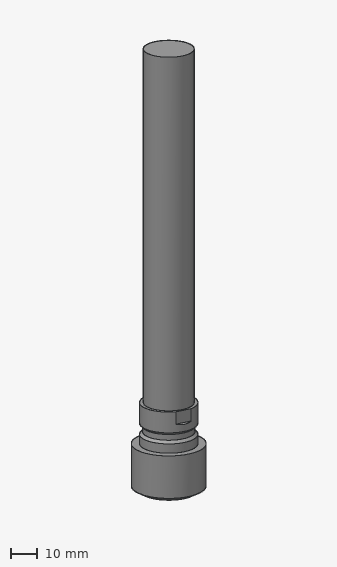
import cadquery as cq

total_length = 175.1
head_diameter = 28.0
collar_diameter = 21.9
shaft_diameter = 19.0
groove_diameter = 19.6

head_top = 18.7
groove_start = 22.5
groove_end = 26.8
collar_top = 35.0

head_chamfer_height = 2.0
head_chamfer_width = 3.3
groove_flank_height = 1.0

flat_spacing = 20.8
flat_height = 4.9

head_radius = head_diameter / 2
collar_radius = collar_diameter / 2
shaft_radius = shaft_diameter / 2
groove_radius = groove_diameter / 2


def turned_body():
    """Revolve the half profile of head, grooved collar and shaft about Z."""
    profile = [
        (0, 0),
        (head_radius - head_chamfer_width, 0),
        (head_radius, head_chamfer_height),
        (head_radius, head_top),
        (collar_radius, head_top),
        (collar_radius, groove_start),
        (groove_radius, groove_start + groove_flank_height),
        (groove_radius, groove_end - groove_flank_height),
        (collar_radius, groove_end),
        (collar_radius, collar_top),
        (shaft_radius, collar_top),
        (shaft_radius, total_length),
        (0, total_length),
    ]
    return cq.Workplane("XZ").polyline(profile).close().revolve(360, (0, 0), (0, 1))


def flat_cutter(side):
    """Block with a 45 degree lower face that cuts the flat on the +X or -X side."""
    inner_x = flat_spacing / 2
    cut_depth = head_radius - inner_x
    flat_bottom = collar_top - flat_height
    section = [
        (side * inner_x, flat_bottom),
        (side * inner_x, collar_top),
        (side * head_radius, collar_top),
        (side * head_radius, flat_bottom - cut_depth),
    ]
    return cq.Workplane("XZ").polyline(section).close().extrude(collar_radius, both=True)


result = turned_body()
for side in (-1, 1):
    result = result.cut(flat_cutter(side))